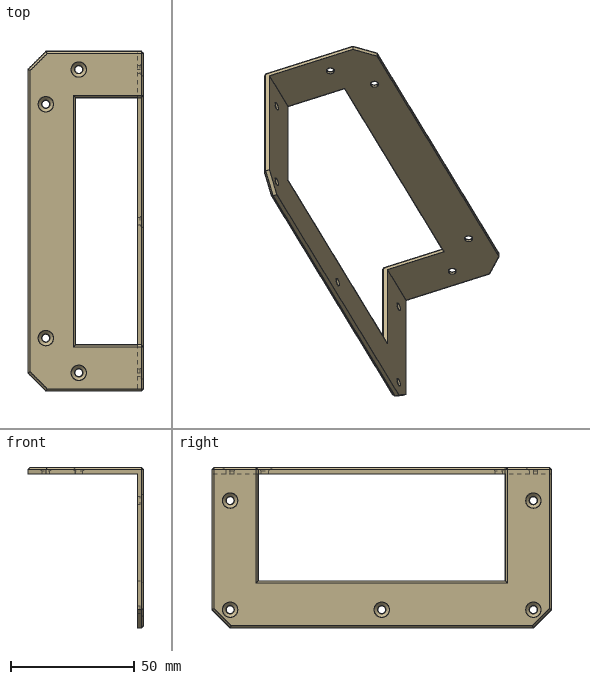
import cadquery as cq

depth = 47.0
length = 138.0
height = 65.3

shelf_thickness = 2.8
wall_thickness = 2.6
edge_chamfer = 1.0
corner_cut = 7.5

window_length = 100.2
shelf_strip_width = 19.5
wall_strip_height = 19.2

hole_diameter = 3.2
countersink_diameter = 6.2
countersink_angle = 90.0
hole_inset = 7.5
shelf_end_hole_x = 20.7
shelf_side_hole_x = 7.3
shelf_side_hole_spacing = 95.0
upper_wall_hole_z = 51.8


def make_angle():
    """L-shaped profile extruded along Y."""
    profile = [
        (0, height),
        (depth, height),
        (depth, 0),
        (depth - wall_thickness, 0),
        (depth - wall_thickness, height - shelf_thickness),
        (0, height - shelf_thickness),
    ]
    return cq.Workplane("XZ").polyline(profile).close().extrude(length / 2, both=True)


def make_window():
    """Block that opens both legs and the bend between them."""
    return cq.Workplane("XY").box(
        depth - shelf_strip_width,
        window_length,
        height - wall_strip_height,
        centered=(False, True, False),
    ).translate((shelf_strip_width, 0, wall_strip_height))


body = make_angle()
body = body.edges("|Z and <X").chamfer(corner_cut)
body = body.edges("|X and <Z").chamfer(corner_cut)
body = body.cut(make_window())
body = body.faces(">Z or >X").edges().chamfer(edge_chamfer)

end_hole_y = length / 2 - hole_inset
side_hole_y = shelf_side_hole_spacing / 2
shelf_holes = [
    (x, side * y)
    for x, y in [(shelf_end_hole_x, end_hole_y), (shelf_side_hole_x, side_hole_y)]
    for side in (-1, 1)
]
body = (
    body.faces(">Z")
    .workplane(origin=(0, 0, height))
    .pushPoints(shelf_holes)
    .cskHole(hole_diameter, countersink_diameter, countersink_angle, depth=shelf_thickness)
)

wall_holes = [(y, hole_inset) for y in (-end_hole_y, 0, end_hole_y)]
wall_holes += [(y, upper_wall_hole_z) for y in (-end_hole_y, end_hole_y)]
body = (
    body.faces(">X")
    .workplane(origin=(depth, 0, 0))
    .pushPoints(wall_holes)
    .cskHole(hole_diameter, countersink_diameter, countersink_angle, depth=wall_thickness)
)

result = body